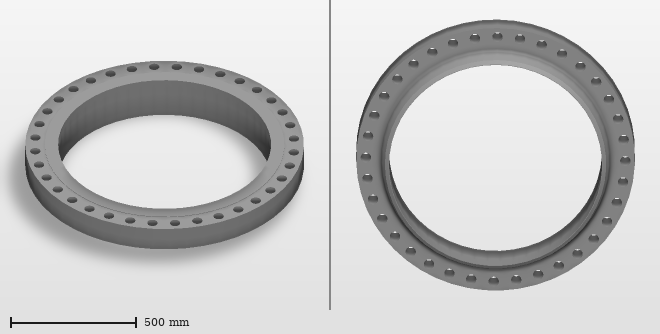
import cadquery as cq
import math

outer_diameter = 1108.0
total_height = 173.0
bore_diameter = 847.0

raised_face_diameter = 953.0
raised_face_height = 2.0
ring_thickness = 101.0

weld_land = 2.0
bevel_width = 14.0
bevel_angle = 37.5
hub_top_radius = 458.0
hub_fillet = 12.0

bolt_count = 36
bolt_circle_diameter = 1032.0
bolt_hole_diameter = 41.0

raised_face_radius = raised_face_diameter / 2
bore_radius = bore_diameter / 2
ring_top = total_height - raised_face_height
ring_bottom = ring_top - ring_thickness
bevel_height = bevel_width * math.tan(math.radians(bevel_angle))
weld_radius = bore_radius + weld_land


def make_hub():
    """Revolved tapered hub, from the weld bevel up to the underside of the ring."""
    return (
        cq.Workplane("XZ")
        .moveTo(bore_radius, 0)
        .lineTo(weld_radius, 0)
        .lineTo(weld_radius + bevel_width, bevel_height)
        .lineTo(hub_top_radius, ring_bottom)
        .lineTo(bore_radius, ring_bottom)
        .close()
        .revolve(360, (0, 0, 0), (0, 1, 0))
    )


def make_ring(diameter, bottom, height):
    """Flat ring around the bore."""
    return (
        cq.Workplane("XY")
        .workplane(offset=bottom)
        .circle(diameter / 2)
        .circle(bore_radius)
        .extrude(height)
    )


def fillet_hub(body):
    """Round the inside corner between the hub cone and the ring."""
    corner_zone = cq.selectors.BoxSelector(
        (-raised_face_radius, -raised_face_radius, ring_bottom - hub_fillet / 2),
        (raised_face_radius, raised_face_radius, ring_bottom + hub_fillet / 2),
        boundingbox=True,
    )
    return body.edges(corner_zone).fillet(hub_fillet)


def make_bolt_holes():
    """Through holes evenly spaced on the bolt circle, the first one on +X."""
    return (
        cq.Workplane("XY")
        .workplane(offset=ring_bottom)
        .polarArray(bolt_circle_diameter / 2, 0, 360, bolt_count)
        .circle(bolt_hole_diameter / 2)
        .extrude(ring_thickness)
    )


bolting_ring = make_ring(outer_diameter, ring_bottom, ring_thickness)
raised_face = make_ring(raised_face_diameter, ring_top, raised_face_height)

body = make_hub().union(bolting_ring).union(raised_face)
result = fillet_hub(body).cut(make_bolt_holes())